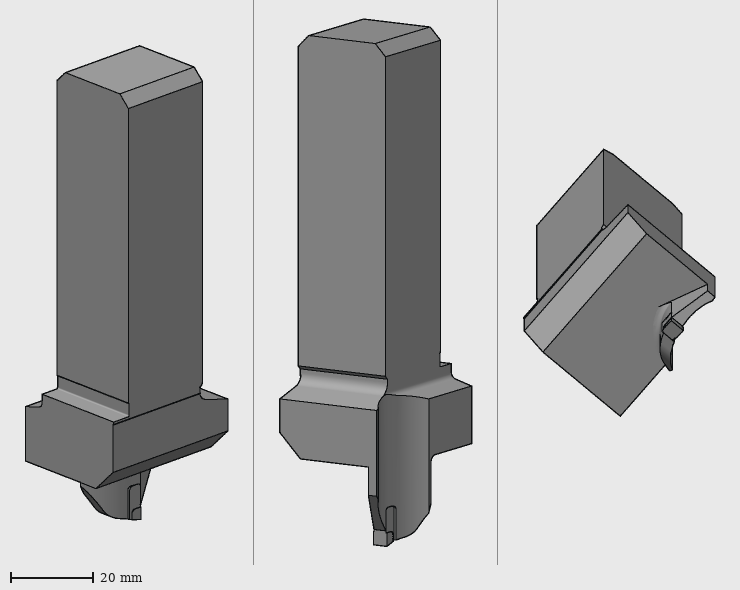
import cadquery as cq
import math


total_height = 124.0
shank_side = 25.0
shank_chamfer = 3.0
shank_right = 30.9
shank_left = shank_right - shank_side
shank_front = 5.0
shank_back = shank_front + shank_side

front_relief_depth = 0.2
front_relief_top = 43.9
front_relief_fillet = 0.4
back_relief_depth = 0.9
back_relief_top = 42.0

head_depth = 38.8
head_right = 30.6
head_bottom = 21.1
head_chamfer = 6.0
head_side_top = 39.5
ledge_top = 40.3
slope_angle = math.radians(15)
slope_low_z = 35.3
side_root_fillet = 1.6
back_root_fillet = 3.0

blade_axis_y = shank_back
inner_radius = 12.4
inner_limit_x = 5.7
outer_radius = 11.8
outer_limit_x = 9.2
inner_axis_x = inner_limit_x - inner_radius
outer_axis_x = outer_limit_x - outer_radius
blade_front = blade_axis_y - math.sqrt(outer_radius**2 - outer_axis_x**2)
arc_middle_y = (blade_front + blade_axis_y) / 2
flank_x = 2.9
blade_root_fillet = 1.7
heel_z = 9.3
heel_corner_y = 22.1
heel_corner_z = 1.9
heel_fillet = 3.7
blade_tip_z = 1.0
back_slope_top_z = 14.1
back_slope_bottom_z = 3.8

insert_front = 26.3
insert_back = blade_axis_y
insert_top = 9.5
insert_corner = 1.0
insert_left = 5.7
insert_right = outer_limit_x
edge_left = 5.5
edge_right = 9.3
edge_height = 3.3
edge_front = 27.0
edge_corner = 0.6


def extrude_along_y(outline, y_start, y_end):
    """Extrude closed X-Z points between two Y positions."""
    return cq.Workplane("XZ", origin=(0, y_start, 0)).polyline(outline).close().extrude(y_start - y_end)


def extrude_along_x(outline, x_start, x_end):
    """Extrude closed Y-Z points between two X positions."""
    return cq.Workplane("YZ", origin=(x_start, 0, 0)).polyline(outline).close().extrude(x_end - x_start)


def make_shank():
    shank = (
        cq.Workplane("XY", origin=(0, 0, head_bottom))
        .rect(shank_side, shank_side)
        .extrude(total_height - head_bottom)
        .translate(((shank_left + shank_right) / 2, (shank_front + shank_back) / 2, 0))
    )
    shank = shank.edges(">Z and |Y").chamfer(shank_chamfer)
    relief_front = shank_front + front_relief_depth
    front_relief = [
        (shank_front, ledge_top),
        (relief_front, ledge_top),
        (relief_front, front_relief_top - front_relief_depth),
        (shank_front, front_relief_top),
    ]
    relief_back = shank_back - back_relief_depth
    back_relief = [
        (shank_back, head_bottom),
        (relief_back, head_bottom),
        (relief_back, back_relief_top - back_relief_depth),
        (shank_back, back_relief_top),
    ]
    for relief in (front_relief, back_relief):
        shank = shank.cut(extrude_along_x(relief, shank_left, shank_right))
    below_ledge = cq.Workplane("XY").box(shank_right, head_depth, ledge_top, centered=False)
    return shank.cut(below_ledge)


def make_head():
    left_root_z = slope_low_z + shank_left * math.tan(slope_angle)
    across = extrude_along_y(
        [
            (0, head_bottom),
            (head_right - head_chamfer, head_bottom),
            (head_right, head_bottom + head_chamfer),
            (head_right, head_side_top),
            (shank_right, head_side_top),
            (shank_right, ledge_top),
            (shank_left, ledge_top),
            (shank_left, left_root_z),
            (0, slope_low_z),
        ],
        0,
        head_depth,
    )
    across = across.edges(cq.NearestToPointSelector((shank_left, head_depth / 2, left_root_z)))
    across = across.fillet(side_root_fillet)
    back_root_y = shank_back - back_relief_depth
    back_root_z = slope_low_z + (head_depth - back_root_y) * math.tan(slope_angle)
    along = extrude_along_x(
        [
            (0, head_bottom),
            (head_depth, head_bottom),
            (head_depth, slope_low_z),
            (back_root_y, back_root_z),
            (back_root_y, ledge_top),
            (0, ledge_top),
        ],
        0,
        shank_right,
    )
    along = along.edges(cq.NearestToPointSelector((shank_right / 2, back_root_y, back_root_z)))
    along = along.fillet(back_root_fillet)
    return across.intersect(along)


def outer_face_x(y):
    """X of the convex cylinder of the blade at a given Y."""
    return outer_axis_x + math.sqrt(outer_radius**2 - (y - blade_axis_y) ** 2)


def make_blade_blank():
    """Plate under the head: convex up to the insert, then a flat relief; its concave face is cut later."""
    return (
        cq.Workplane("XY")
        .moveTo(0, blade_front)
        .threePointArc((outer_face_x(arc_middle_y), arc_middle_y), (outer_limit_x, blade_axis_y))
        .lineTo(outer_face_x(head_depth), head_depth)
        .lineTo(0, head_depth)
        .close()
        .extrude(head_bottom)
    )


def make_blade_profile():
    """Side profile that keeps the head and trims the lower end of the blade."""
    profile = extrude_along_x(
        [
            (0, total_height),
            (0, heel_z),
            (blade_front, heel_z),
            (heel_corner_y, heel_corner_z),
            (insert_front, blade_tip_z),
            (insert_back, blade_tip_z),
            (insert_back, back_slope_bottom_z),
            (head_depth, back_slope_top_z),
            (head_depth, total_height),
        ],
        0,
        shank_right,
    )
    heel = cq.NearestToPointSelector((shank_right / 2, heel_corner_y, heel_corner_z))
    return profile.edges(heel).fillet(heel_fillet)


def make_concave_cut():
    """Upright cylinder that hollows the -X side, with a flat flank at its +Y end."""
    flank_y = blade_axis_y + math.sqrt(inner_radius**2 - (flank_x - inner_axis_x) ** 2)
    cylinder = (
        cq.Workplane("XY")
        .center(inner_axis_x, blade_axis_y)
        .circle(inner_radius)
        .extrude(ledge_top)
    )
    flank = cq.Workplane("XY", origin=(0, flank_y, 0)).box(
        flank_x, head_depth - flank_y, ledge_top, centered=False
    )
    return cylinder.union(flank)


def make_insert_blank():
    """Upright bar with a rounded upper end, tapering to the cutting edge."""
    bar = extrude_along_x(
        [
            (insert_back, 0),
            (insert_back, insert_top),
            (insert_front, insert_top),
            (insert_front, blade_tip_z),
        ],
        insert_left,
        insert_right,
    )
    return bar.edges("|X and >Z").fillet(insert_corner)


def make_cutting_edge():
    """Cutting head, a little wider than the bar on both sides."""
    edge_slope = blade_tip_z / (insert_back - insert_front)
    return extrude_along_x(
        [
            (insert_back, 0),
            (insert_back, edge_height),
            (edge_front + edge_corner, edge_height),
            (edge_front, edge_height - edge_corner),
            (edge_front, edge_slope * (insert_back - edge_front)),
        ],
        edge_left,
        edge_right,
    )


def make_pocket():
    """Seat for the insert, right through the blade."""
    seat = cq.Workplane("YZ").center((insert_front + insert_back) / 2, insert_top / 2)
    seat = seat.rect(insert_back - insert_front, insert_top).extrude(shank_right)
    return seat.edges("|X and >Z").fillet(insert_corner)


def make_holder():
    holder = make_head().union(make_blade_blank())
    blade_root = cq.NearestToPointSelector((outer_face_x(arc_middle_y), arc_middle_y, head_bottom))
    holder = holder.edges(blade_root).fillet(blade_root_fillet)
    holder = holder.intersect(make_blade_profile())
    holder = holder.cut(make_concave_cut())
    holder = holder.union(make_shank())
    shank_middle_x = (shank_left + shank_right) / 2
    shank_foot = cq.NearestToPointSelector((shank_middle_x, shank_front + front_relief_depth, ledge_top))
    holder = holder.edges(shank_foot).fillet(front_relief_fillet)
    return holder.cut(make_pocket())


def make_insert():
    return make_insert_blank().union(make_cutting_edge())


holder = make_holder()
insert = make_insert()

result = cq.Compound.makeCompound([holder.val(), insert.val()])